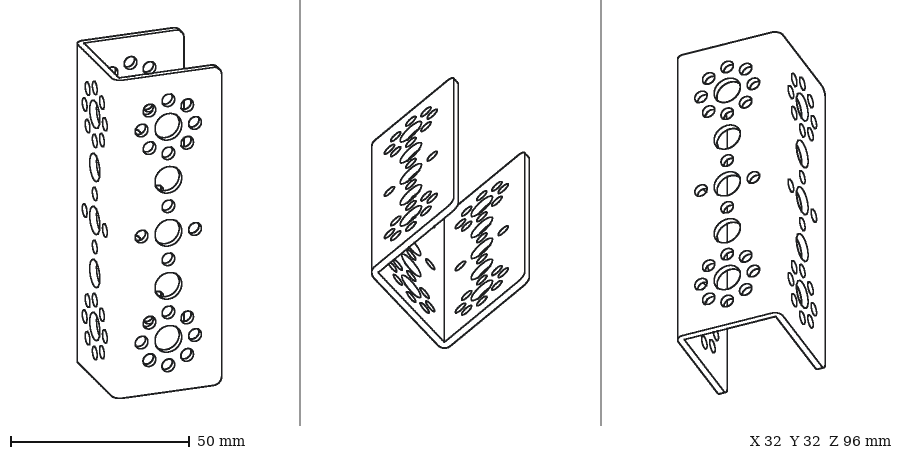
import cadquery as cq
import math

length = 96.0
width = length / 3
wall = 2.0
bend_radius = 2.5
tip_radius = 2.5

pitch = width / 2
bore_diameter = 8.0
small_diameter = 3.7
bore_rows = range(-2, 3)
holes_around_bore = {-2: 8, 0: 4, 2: 8}
ring_radius = pitch / 2


def ring_points(row, count):
    """Evenly spaced small-hole centres around the bore in the given row."""
    step = 2 * math.pi / count
    return [
        (ring_radius * math.cos(i * step), row * pitch + ring_radius * math.sin(i * step))
        for i in range(count)
    ]


def hole_cutters(plane):
    """Cylinders for one face pattern, passing through the whole section."""
    bores = [(0, row * pitch) for row in bore_rows]
    small_holes = []
    for row, count in holes_around_bore.items():
        small_holes += ring_points(row, count)
    sketch_plane = cq.Workplane(plane)
    bore_cutters = sketch_plane.pushPoints(bores).circle(bore_diameter / 2).extrude(width, both=True)
    small_cutters = sketch_plane.pushPoints(small_holes).circle(small_diameter / 2).extrude(width, both=True)
    return bore_cutters, small_cutters


channel = cq.Workplane("XY").box(width, width, length)
channel = channel.edges("|Z and <Y").fillet(bend_radius)
cavity = cq.Workplane("XY").box(width - 2 * wall, width, length).translate((0, wall, 0))
channel = channel.cut(cavity)

channel = channel.faces(">Y").edges("|X").fillet(tip_radius)

for face_plane in ("XZ", "YZ"):
    for cutter in hole_cutters(face_plane):
        channel = channel.cut(cutter)

result = channel